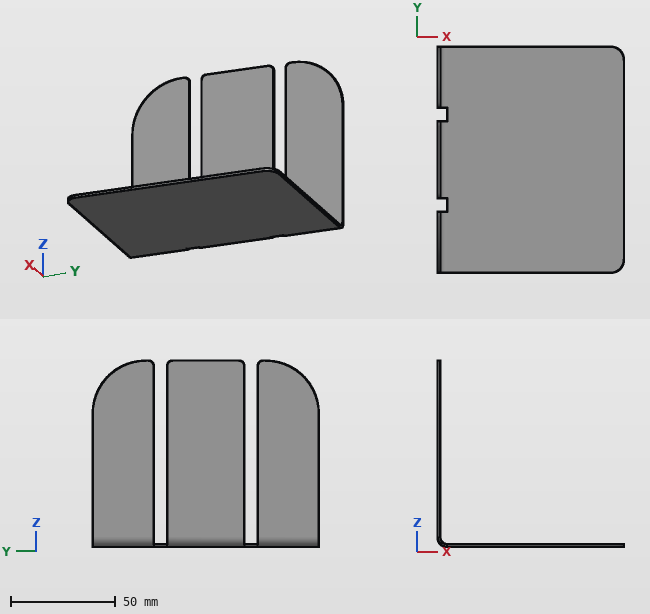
import cadquery as cq

LENGTH = 88.9
WIDTH = 107.95
HEIGHT = 88.9

THICKNESS = 1.4224
BEND_INNER_RADIUS = 3.175
BEND_OUTER_RADIUS = BEND_INNER_RADIUS + THICKNESS

SIDE_TAB_WIDTH = 29.21
SLOT_WIDTH = 6.35
SLOT_OFFSET = WIDTH / 2 - SIDE_TAB_WIDTH - SLOT_WIDTH / 2

BASE_CORNER_RADIUS = 6.35
UPRIGHT_CORNER_RADIUS = 25.4
TAB_CORNER_RADIUS = 2.54

PATCH_LENGTH = 38.1
PATCH_WIDTH = 50.8
PATCH_START = 25.4


def bent_sheet():
    """L-shaped sheet with a rounded bend, centred on Y = 0."""
    profile = (
        cq.Workplane("XZ")
        .moveTo(LENGTH, 0)
        .lineTo(BEND_OUTER_RADIUS, 0)
        .radiusArc((0, BEND_OUTER_RADIUS), BEND_OUTER_RADIUS)
        .lineTo(0, HEIGHT)
        .lineTo(THICKNESS, HEIGHT)
        .lineTo(THICKNESS, BEND_OUTER_RADIUS)
        .radiusArc((BEND_OUTER_RADIUS, THICKNESS), -BEND_INNER_RADIUS)
        .lineTo(LENGTH, THICKNESS)
        .close()
    )
    return profile.extrude(WIDTH / 2, both=True)


def round_outer_corners(sheet):
    """Round the free corners of the base and of the upright."""
    sheet = sheet.faces(">X").edges("|Z").fillet(BASE_CORNER_RADIUS)
    return sheet.faces(">Z").edges("|X").fillet(UPRIGHT_CORNER_RADIUS)


def cut_slots(sheet):
    """Cut both slots from the top of the upright through the whole bend."""
    for side in (-1, 1):
        slot = (
            cq.Workplane("XY")
            .center(BEND_OUTER_RADIUS / 2, side * SLOT_OFFSET)
            .rect(BEND_OUTER_RADIUS, SLOT_WIDTH)
            .extrude(HEIGHT)
        )
        sheet = sheet.cut(slot)
    return sheet


def round_tab_corners(sheet):
    """Round the top corners of the tabs next to the slots."""
    half_span = SLOT_OFFSET + SLOT_WIDTH
    slot_region = cq.selectors.BoxSelector(
        (-THICKNESS, -half_span, HEIGHT - THICKNESS),
        (2 * THICKNESS, half_span, HEIGHT + THICKNESS),
    )
    return sheet.edges("|X").edges(slot_region).fillet(TAB_CORNER_RADIUS)


def outline_patch(sheet):
    """Divide the base around the patch, leaving the patch flush as its own face."""
    patch = (
        cq.Workplane("XY")
        .center(PATCH_START + PATCH_LENGTH / 2, 0)
        .rect(PATCH_LENGTH, PATCH_WIDTH)
        .extrude(THICKNESS / 2)
        .translate((0, 0, THICKNESS / 2))
    )
    return sheet.cut(patch).union(patch, clean=False)


result = bent_sheet()
result = round_outer_corners(result)
result = cut_slots(result)
result = round_tab_corners(result)
result = outline_patch(result)